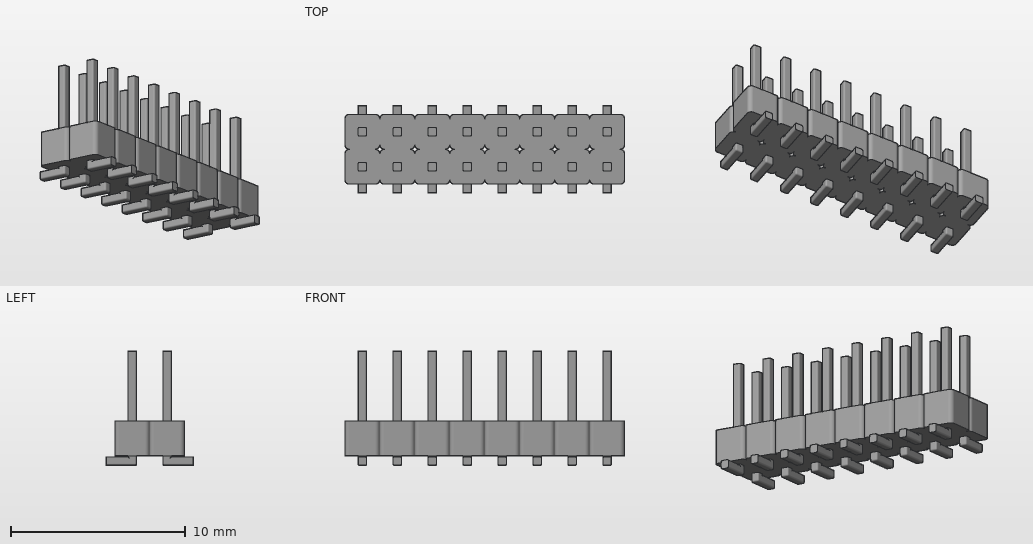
import cadquery as cq


length = 16.0
pins_per_row = 8
rows = 2
body_height = 2.0
cell_corner_radius = 0.25
pin_width = 0.5
pin_edge_radius = 0.1
pin_height_above_body = 4.0
foot_clearance = 0.05
foot_span = 5.0

pitch = length / pins_per_row
row_offset = pitch * (rows - 1) / 2
pin_top = body_height + pin_height_above_body
foot_top = -foot_clearance
foot_bottom = foot_top - pin_width
foot_reach = foot_span / 2 - row_offset


def make_body():
    """Insulator: one square cell per pin, each with rounded vertical corners."""
    cell = (
        cq.Workplane("XY")
        .box(pitch, pitch, body_height, centered=(True, True, False))
        .edges("|Z")
        .fillet(cell_corner_radius)
        .val()
    )
    cells = cq.Workplane("XY").rarray(pitch, pitch, pins_per_row, rows)
    return cells.eachpoint(cell, combine=True)


def make_pin():
    """L-shaped pin: a post on the Z axis with a foot pointing toward -Y."""
    half_width = pin_width / 2
    post = (
        cq.Workplane("XY", origin=(0, 0, foot_bottom))
        .box(pin_width, pin_width, pin_top - foot_bottom, centered=(True, True, False))
        .edges("|Z or <Z")
        .fillet(pin_edge_radius)
    )
    foot = (
        cq.Workplane("XZ", origin=(0, half_width, foot_bottom))
        .box(pin_width, pin_width, foot_reach + half_width, centered=(True, False, False))
        .edges("|Y or >Y")
        .fillet(pin_edge_radius)
    )
    return post.union(foot)


def add_pins(body):
    """Fuse both rows of pins into the body, with the feet pointing outward."""
    front_pin = make_pin()
    back_pin = front_pin.rotate((0, 0, 0), (0, 0, 1), 180)
    for index in range(pins_per_row):
        x = (index - (pins_per_row - 1) / 2) * pitch
        body = body.union(front_pin.translate((x, -row_offset, 0)))
        body = body.union(back_pin.translate((x, row_offset, 0)))
    return body


result = add_pins(make_body())